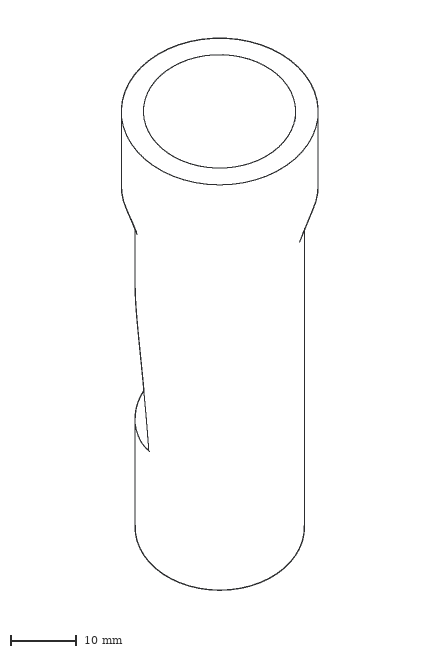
import cadquery as cq

total_height = 95.0
collar_diameter = 30.0
tube_diameter = 25.8
collar_height = 17.0
taper_height = 8.0

bore_diameter = 23.2
bore_tilt = 2.0
pivot_rise = 1.0
pivot_height = total_height + pivot_rise
bore_length = 71.6
bore_floor_fillet = 1.0
bore_overrun = 4.75


def make_body():
    """Collar, cone and tube revolved about Z."""
    collar_bottom = total_height - collar_height
    taper_bottom = collar_bottom - taper_height
    collar_radius = collar_diameter / 2
    tube_radius = tube_diameter / 2
    return (
        cq.Workplane("XZ")
        .lineTo(tube_radius, 0)
        .lineTo(tube_radius, taper_bottom)
        .lineTo(collar_radius, collar_bottom)
        .lineTo(collar_radius, total_height)
        .lineTo(0, total_height)
        .close()
        .revolve(360, (0, 0, 0), (0, 1, 0))
    )


def make_bore_cutter():
    """Round-cornered plug whose axis leans toward -X as it goes down."""
    return (
        cq.Workplane("XY")
        .workplane(offset=pivot_height - bore_length)
        .circle(bore_diameter / 2)
        .extrude(bore_length + bore_overrun)
        .faces("<Z")
        .edges()
        .fillet(bore_floor_fillet)
        .rotate((0, 0, pivot_height), (0, 1, pivot_height), bore_tilt)
    )


result = make_body().cut(make_bore_cutter())